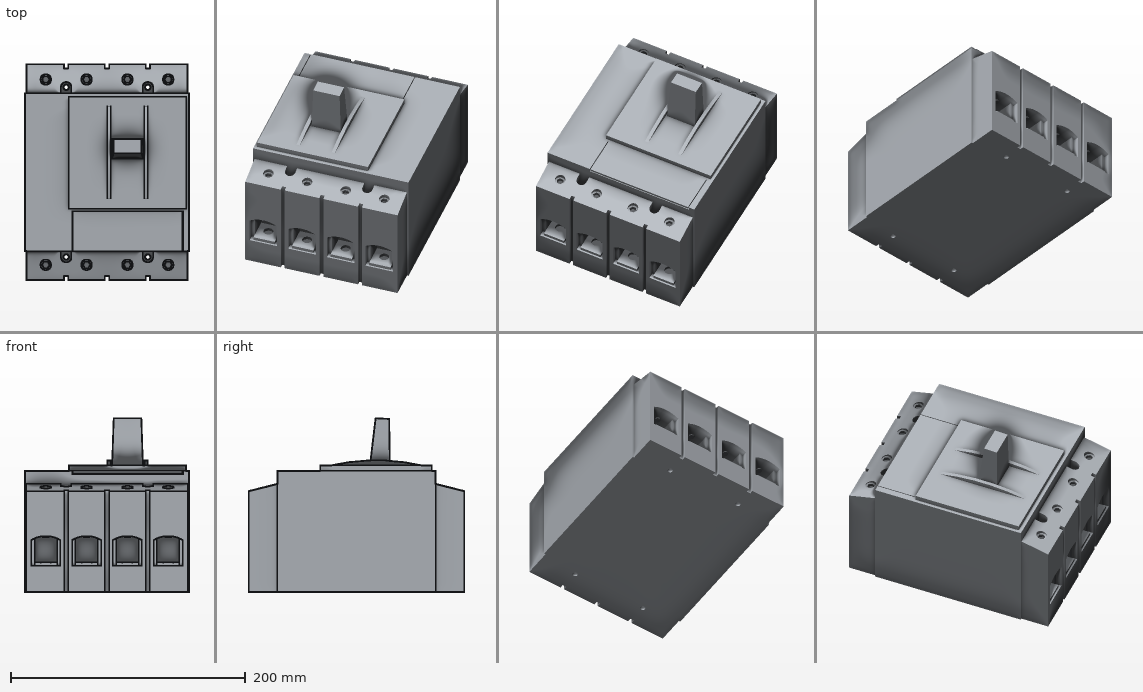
import cadquery as cq
import math

overall_length = 184.0
overall_height = 148.3

housing_width = 140.0
housing_length = 134.7
housing_height = 103.5
terminal_width = 137.3
terminal_outer_height = 86.1
terminal_inner_height = 92.2
terminal_shoulder = 0.5

pole_count = 4
pole_pitch = 34.8
groove_width = 3.5
groove_depth = 3.5

screw_y = 79.0
screw_recess_diameter = 9.0
screw_head_z = 87.4
hex_across_flats = 5.5
hex_depth = 2.8
screw_tip_diameter = 4.8
screw_tip_z = 46.7

window_width = 24.8
window_bottom_z = 22.6
window_side_top_z = 44.3
window_peak_z = 47.8
window_depth = 5.2
chamber_width = 19.1
chamber_depth = 22.0
bar_top_z = 25.4
bar_setback = 1.5
bar_hole_diameter = 8.5
bar_hole_depth = 2.8

mount_offset_x = pole_pitch
mount_y = 72.3
mount_slot_width = 9.0
mount_floor_z = 64.4
mount_hole_diameter = 4.5

panel_x = 17.5

plate_width = 100.0
plate_thickness = 4.6
plate_y_min = -31.1
plate_y_max = 64.2

rib_width = 3.1
rib_spacing = 31.6
rib_y_min = -22.0
rib_y_max = 56.0
rib_height = 4.5

lid_recess_width = 94.5
lid_length = 34.2
lid_thickness = 2.0
lid_clearance = 0.7

handle_lean = 3.0
handle_top_width = 23.7
handle_top_thickness = 11.8
handle_top_y = 22.0
handle_width_taper = 1.9
handle_thickness_taper = 3.8

half_length = overall_length / 2
housing_half_length = housing_length / 2
shoulder_y = housing_half_length + terminal_shoulder
plate_top_z = housing_height + plate_thickness
pole_xs = [(i - (pole_count - 1) / 2) * pole_pitch for i in range(pole_count)]
groove_xs = [(a + b) / 2 for a, b in zip(pole_xs, pole_xs[1:])]
sides = (-1, 1)


def box(x_min, x_max, y_min, y_max, z_min, z_max):
    """Axis-aligned box between the given limits."""
    return (
        cq.Workplane("XY")
        .box(x_max - x_min, y_max - y_min, z_max - z_min, centered=False)
        .translate((x_min, y_min, z_min))
    )


def vertical_cylinder(x, y, diameter, z_min, z_max):
    """Cylinder along Z between two heights."""
    return cq.Workplane("XY", origin=(x, y, z_min)).circle(diameter / 2).extrude(z_max - z_min)


def housing_blank():
    """Central block with a terminal block, flat next to the centre and then sloped, at both ends."""
    centre = cq.Workplane("XY").box(
        housing_width, housing_length, housing_height, centered=(True, True, False)
    )
    terminals = (
        cq.Workplane("YZ")
        .moveTo(-half_length, 0)
        .lineTo(-half_length, terminal_outer_height)
        .lineTo(-shoulder_y, terminal_inner_height)
        .lineTo(shoulder_y, terminal_inner_height)
        .lineTo(half_length, terminal_outer_height)
        .lineTo(half_length, 0)
        .close()
        .extrude(terminal_width / 2, both=True)
    )
    return centre.union(terminals)


def pole_groove(x):
    """Upright groove in the front end face."""
    return box(
        x - groove_width / 2, x + groove_width / 2,
        -half_length, -half_length + groove_depth,
        0, terminal_inner_height,
    )


def screw_recess(x):
    """Round recess down to a screw head with a hexagon socket, at the front end."""
    recess = vertical_cylinder(x, -screw_y, screw_recess_diameter, screw_head_z, terminal_inner_height)
    hexagon = (
        cq.Workplane("XY", origin=(x, -screw_y, screw_head_z - hex_depth))
        .transformed(rotate=(0, 0, 90))
        .polygon(6, hex_across_flats, circumscribed=True)
        .extrude(hex_depth)
    )
    return recess.union(hexagon)


def window_arch(x):
    """Upright opening with an arched top, running the full chamber depth from the front end face."""
    half = window_width / 2
    return (
        cq.Workplane("XZ", origin=(x, -half_length, 0))
        .moveTo(-half, window_bottom_z)
        .lineTo(half, window_bottom_z)
        .lineTo(half, window_side_top_z)
        .threePointArc((0, window_peak_z), (-half, window_side_top_z))
        .close()
        .extrude(-chamber_depth)
    )


def cable_window(x):
    """Arched window and the narrower chamber behind it, leaving the terminal bar and the screw tip."""
    half = chamber_width / 2
    arch = window_arch(x)
    window = arch.intersect(
        box(
            x - window_width, x + window_width,
            -half_length, -half_length + window_depth,
            0, window_peak_z,
        )
    )
    chamber = arch.intersect(
        box(x - half, x + half, -half_length, -half_length + chamber_depth, bar_top_z, window_peak_z)
    )
    bar = box(
        x - half, x + half,
        -half_length + bar_setback, -half_length + window_depth,
        window_bottom_z, bar_top_z,
    )
    bar_hole = vertical_cylinder(x, -screw_y, bar_hole_diameter, bar_top_z - bar_hole_depth, bar_top_z)
    screw_tip = vertical_cylinder(x, -screw_y, screw_tip_diameter, screw_tip_z, window_peak_z)
    return window.cut(bar).union(chamber).union(bar_hole).cut(screw_tip)


def mounting_slot(x):
    """Round-ended slot beside the housing wall, with a hole through its floor, at the front end."""
    slot = vertical_cylinder(x, -mount_y, mount_slot_width, mount_floor_z, terminal_inner_height)
    straight = box(
        x - mount_slot_width / 2, x + mount_slot_width / 2,
        -mount_y, -housing_half_length,
        mount_floor_z, terminal_inner_height,
    )
    hole = vertical_cylinder(x, -mount_y, mount_hole_diameter, 0, mount_floor_z)
    return slot.union(straight).union(hole)


def end_cutters():
    """All the cuts of the front terminal block."""
    cutters = [pole_groove(x) for x in groove_xs]
    for x in pole_xs:
        cutters += [screw_recess(x), cable_window(x)]
    cutters += [mounting_slot(side * mount_offset_x) for side in sides]
    return cutters


def make_housing():
    """Housing with both terminal ends cut alike and a recess for the lid."""
    housing = housing_blank()
    for cutter in end_cutters():
        housing = housing.cut(cutter).cut(cutter.mirror("XZ"))
    return housing.cut(lid_recess())


def lid_block(width, thickness):
    """Flat block against the back of the lid recess, flush with the housing top and front."""
    return box(
        panel_x - width / 2, panel_x + width / 2,
        -housing_half_length, -housing_half_length + lid_length,
        housing_height - thickness, housing_height,
    )


def lid_recess():
    """Recess that leaves the clearance beside and under the lid."""
    return lid_block(lid_recess_width, lid_thickness + lid_clearance)


def make_lid():
    """Flat lid held at its back edge by the recess wall."""
    return lid_block(lid_recess_width - 2 * lid_clearance, lid_thickness)


def arched_rib(x):
    """Rib with an arched top, standing on the face plate."""
    return (
        cq.Workplane("YZ", origin=(x - rib_width / 2, 0, 0))
        .moveTo(rib_y_min, plate_top_z)
        .threePointArc(
            ((rib_y_min + rib_y_max) / 2, plate_top_z + rib_height), (rib_y_max, plate_top_z)
        )
        .close()
        .extrude(rib_width)
    )


def make_face_plate():
    """Flat plate with one rib on either side of the handle."""
    plate = box(
        panel_x - plate_width / 2, panel_x + plate_width / 2,
        plate_y_min, plate_y_max,
        housing_height, plate_top_z,
    )
    for side in sides:
        plate = plate.union(arched_rib(panel_x + side * rib_spacing / 2))
    return plate


def make_handle():
    """Lever tapered on all four sides, leaned toward +Y and trimmed flat on the face plate."""
    lean = math.radians(handle_lean)
    reach = overall_height - housing_height
    top_z = overall_height - handle_top_thickness / 2 * math.sin(lean)
    base_width = handle_top_width + 2 * reach * math.tan(math.radians(handle_width_taper))
    base_thickness = handle_top_thickness + 2 * reach * math.tan(math.radians(handle_thickness_taper))
    lever = (
        cq.Workplane("XY")
        .rect(handle_top_width, handle_top_thickness)
        .workplane(offset=-reach)
        .rect(base_width, base_thickness)
        .loft(ruled=True)
        .rotate((0, 0, 0), (1, 0, 0), -handle_lean)
        .translate((panel_x, handle_top_y, top_z))
    )
    above_plate = cq.Workplane("XY", origin=(panel_x, handle_top_y, plate_top_z)).box(
        2 * base_width, 4 * base_thickness, overall_height, centered=(True, True, False)
    )
    return lever.intersect(above_plate)


housing = make_housing()
face_plate = make_face_plate()
lid = make_lid()
handle = make_handle()

result = cq.Compound.makeCompound([housing.val(), face_plate.val(), lid.val(), handle.val()])